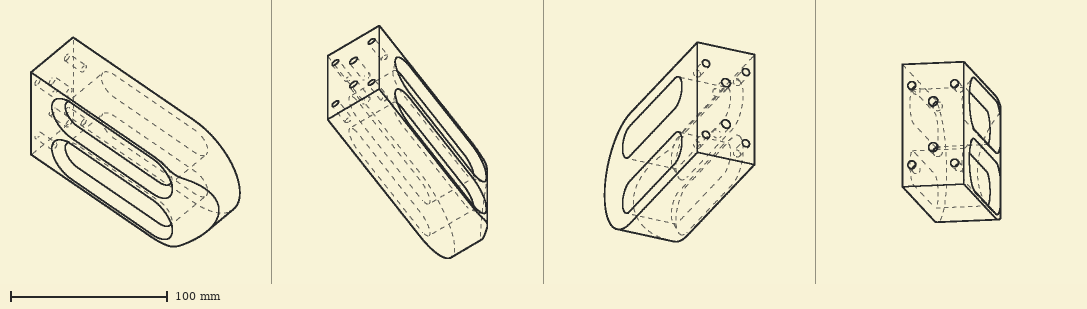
import cadquery as cq
import math

length = 144.0
depth = 40.0
height = 80.0
nose_radius = height / 2
nose_center_x = length - nose_radius

nose_slope = 20.0
blend_radius = 12.5

slot_start_x = 35.0
slot_straight = 70.0
slot_radius = 11.0
rim_flare = 6.0
slot_offset_z = height / 4

corner_hole_diameter = 5.0
corner_hole_depth = 14.4
corner_spacing_y = 28.0
corner_spacing_z = 51.8
center_hole_diameter = 5.9
center_hole_depth = 14.4
center_spacing_z = 30.0
drill_tip_angle = 118.0


def make_body():
    """Round-nosed plate with its front nose edge sloped at 45 degrees."""
    half = height / 2
    plate = (
        cq.Workplane("XZ")
        .moveTo(0, -half)
        .lineTo(nose_center_x, -half)
        .threePointArc((length, 0), (nose_center_x, half))
        .lineTo(0, half)
        .close()
        .extrude(-depth)
    )
    tangent = blend_radius * math.tan(math.radians(22.5))
    diagonal = tangent * math.sqrt(0.5)
    corner_x = length - nose_slope
    profile = (
        cq.Workplane("XY")
        .lineTo(corner_x - tangent, 0)
        .tangentArcPoint((corner_x + diagonal, diagonal), relative=False)
        .lineTo(length, nose_slope)
        .lineTo(length, depth)
        .lineTo(0, depth)
        .close()
        .extrude(half, both=True)
    )
    return plate.intersect(profile)


def slot_prism(radius, z, cut_depth, taper=0):
    """Rounded slot cutter running from the front face toward the rear."""
    return (
        cq.Workplane("XZ")
        .center(slot_start_x + slot_straight / 2, z)
        .slot2D(slot_straight + 2 * radius, 2 * radius)
        .extrude(-cut_depth, taper=taper)
    )


def drill(diameter, hole_depth, y, z):
    """Blind hole along +X ending in a conical drill tip."""
    radius = diameter / 2
    tip = radius / math.tan(math.radians(drill_tip_angle / 2))
    return (
        cq.Workplane("XY")
        .lineTo(hole_depth + tip, 0)
        .lineTo(hole_depth, radius)
        .lineTo(0, radius)
        .close()
        .revolve(360, (0, 0, 0), (1, 0, 0))
        .translate((0, y, z))
    )


result = make_body()

for side in (-1, 1):
    slot_z = side * slot_offset_z
    result = result.cut(slot_prism(slot_radius, slot_z, depth))
    result = result.cut(slot_prism(slot_radius + rim_flare, slot_z, rim_flare, taper=45))

for side_z in (-1, 1):
    center_z = side_z * center_spacing_z / 2
    result = result.cut(drill(center_hole_diameter, center_hole_depth, depth / 2, center_z))
    for side_y in (-1, 1):
        corner_y = depth / 2 + side_y * corner_spacing_y / 2
        corner_z = side_z * corner_spacing_z / 2
        result = result.cut(drill(corner_hole_diameter, corner_hole_depth, corner_y, corner_z))